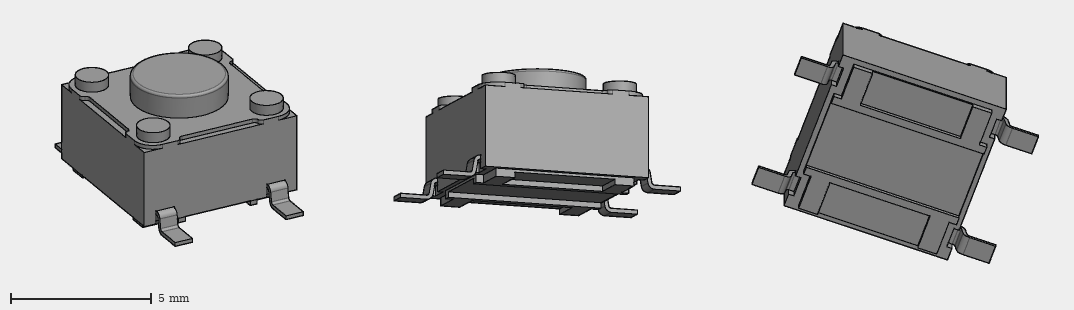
import cadquery as cq
import math

base_bottom = 0.2
body_bottom = 0.3
body_top = 3.25
cover_top = 3.4
stud_top = 3.8
button_top = 4.3

body_width = 6.2
body_half = body_width / 2
cover_corner_radius = 0.75
notch_mouth = 3.47
notch_depth = 0.25
notch_radius = 0.15

button_diameter = 3.5
button_edge_radius = 0.1
stud_diameter = 1.2
stud_spacing = 4.6

base_width = 5.8
corner_step_x = 0.28
rib_outer = 1.59
channel_width = 2.63
leg_gap = 3.8

lead_span = 9.0
lead_width = 0.7
lead_spacing = 4.5
lead_thickness = 0.15
lead_top = 0.8
lead_inner_radius = 0.1
lead_outer_radius = lead_inner_radius + lead_thickness
web_tilt = math.radians(10)
slot_width = 0.75
slot_depth = 0.2


def block(size_x, size_y, bottom, top):
    """Box centred on the Z axis between two heights."""
    return (
        cq.Workplane("XY")
        .workplane(offset=bottom)
        .rect(size_x, size_y)
        .extrude(top - bottom)
    )


def cover_notch():
    """Shallow notch in the +Y cover edge whose ends are S-curves of two equal arcs."""
    middle_y = body_half - notch_depth / 2
    floor_y = body_half - notch_depth
    end_angle = math.acos(1 - notch_depth / 2 / notch_radius)
    curve_width = notch_radius * math.sin(end_angle)
    half_way_x = notch_radius * math.sin(end_angle / 2)
    half_way_y = notch_radius * (1 - math.cos(end_angle / 2))

    mouth_x = notch_mouth / 2
    middle_x = mouth_x - curve_width
    floor_x = middle_x - curve_width
    return (
        cq.Workplane("XY")
        .workplane(offset=body_top)
        .moveTo(-mouth_x, body_half)
        .threePointArc((-mouth_x + half_way_x, body_half - half_way_y), (-middle_x, middle_y))
        .threePointArc((-floor_x - half_way_x, floor_y + half_way_y), (-floor_x, floor_y))
        .lineTo(floor_x, floor_y)
        .threePointArc((floor_x + half_way_x, floor_y + half_way_y), (middle_x, middle_y))
        .threePointArc((mouth_x - half_way_x, body_half - half_way_y), (mouth_x, body_half))
        .close()
        .extrude(cover_top - body_top)
    )


def cover():
    """Cover plate with round corners and a notch in each side."""
    plate = block(body_width, body_width, body_top, cover_top).edges("|Z").fillet(cover_corner_radius)
    notch = cover_notch()
    for quarter_turn in range(4):
        plate = plate.cut(notch.rotate((0, 0, 0), (0, 0, 1), 90 * quarter_turn))
    return plate


def button():
    """Round push button with a rounded top edge."""
    return (
        cq.Workplane("XY")
        .workplane(offset=cover_top)
        .circle(button_diameter / 2)
        .extrude(button_top - cover_top)
        .faces(">Z")
        .edges()
        .fillet(button_edge_radius)
    )


def studs():
    """Four studs on the corners of the cover."""
    return (
        cq.Workplane("XY")
        .workplane(offset=cover_top)
        .rect(stud_spacing, stud_spacing, forConstruction=True)
        .vertices()
        .circle(stud_diameter / 2)
        .extrude(stud_top - cover_top)
    )


def base():
    """Base plate under the housing, carrying two ribs along X and four legs."""
    narrow_width = base_width - 2 * corner_step_x
    plate = block(base_width, 2 * rib_outer, 0, body_bottom)
    plate = plate.union(block(narrow_width, base_width, 0, body_bottom))
    plate = plate.cut(block(base_width, channel_width, 0, base_bottom))
    pocket_length = base_width / 2 - rib_outer
    pocket = block(leg_gap, pocket_length, 0, base_bottom)
    for side in (-1, 1):
        plate = plate.cut(pocket.translate((0, side * (rib_outer + pocket_length / 2), 0)))
    return plate


def lead():
    """Lead on the +X side, centred on Y = 0, from the slot's back wall to the foot tip."""
    upper_center = (body_half, lead_top - lead_outer_radius)
    lower_z = lead_outer_radius
    tangent_reach = lead_outer_radius + lead_inner_radius
    bend_drop = upper_center[1] - lower_z
    bend_run = (tangent_reach + bend_drop * math.sin(web_tilt)) / math.cos(web_tilt)
    lower_center = (body_half + bend_run, lower_z)

    def on_upper_bend(radius, angle):
        return (
            upper_center[0] + radius * math.cos(angle),
            upper_center[1] + radius * math.sin(angle),
        )

    def on_lower_bend(radius, angle):
        return (
            lower_center[0] - radius * math.cos(angle),
            lower_center[1] - radius * math.sin(angle),
        )

    quarter = math.pi / 2
    middle = (quarter + web_tilt) / 2
    root_x = body_half - slot_depth
    tip_x = lead_span / 2
    return (
        cq.Workplane("XZ")
        .moveTo(root_x, lead_top)
        .lineTo(*on_upper_bend(lead_outer_radius, quarter))
        .threePointArc(on_upper_bend(lead_outer_radius, middle), on_upper_bend(lead_outer_radius, web_tilt))
        .lineTo(*on_lower_bend(lead_inner_radius, web_tilt))
        .threePointArc(on_lower_bend(lead_inner_radius, middle), on_lower_bend(lead_inner_radius, quarter))
        .lineTo(tip_x, lead_thickness)
        .lineTo(tip_x, 0)
        .lineTo(*on_lower_bend(lead_outer_radius, quarter))
        .threePointArc(on_lower_bend(lead_outer_radius, middle), on_lower_bend(lead_outer_radius, web_tilt))
        .lineTo(*on_upper_bend(lead_inner_radius, web_tilt))
        .threePointArc(on_upper_bend(lead_inner_radius, middle), on_upper_bend(lead_inner_radius, quarter))
        .lineTo(root_x, lead_top - lead_thickness)
        .close()
        .extrude(lead_width / 2, both=True)
    )


def at_lead_places(shape):
    """Copies of a +X side shape at the four lead places."""
    copies = cq.Workplane("XY")
    for half_turn in (0, 180):
        turned = shape.rotate((0, 0, 0), (0, 0, 1), half_turn)
        for side in (-1, 1):
            copies = copies.add(turned.translate((0, side * lead_spacing / 2, 0)))
    return copies.combine()


lead_slot = block(slot_depth, slot_width, body_bottom, lead_top).translate((body_half - slot_depth / 2, 0, 0))
housing = block(body_width, body_width, body_bottom, body_top).cut(at_lead_places(lead_slot))

result = (
    housing.union(base())
    .union(cover())
    .union(button())
    .union(studs())
    .union(at_lead_places(lead()))
)